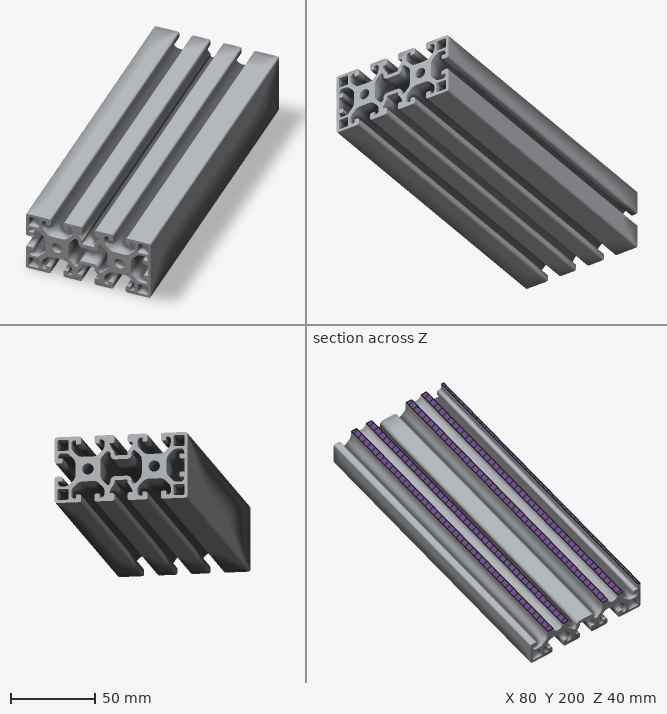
import cadquery as cq
import math

length = 200.0
cell = 40.0
half_cell = cell / 2
width = 2 * cell
cell_centres = (-half_cell, half_cell)
edge_radius = 1.2
bore_diameter = 6.8

mouth_half = 4.0
lip_half = 7.0
slot_half = 10.0
lip_level = half_cell - 4.8
pocket_level = half_cell - 2.5
side_pocket_level = half_cell - 1.8
core_size = 15.0
core_half = core_size / 2
arm_offset = 2.2
floor_radius = 4.8
flank_radius = 4.0
pocket_radius = 1.8

wall = 1.8
tube_size = 6.5
tube_radius = 0.5
tube_lip_radius = 1.0

groove_half = 6.8
groove_flank_top = 14.2
groove_flank_bottom = 9.5
groove_bend_half = 6.0
groove_bend_level = 12.2
groove_bend_radius = 14.0
groove_floor_radius = 0.5

bridge_gap = 10.2
bridge_level = bridge_gap / 2
bridge_shoulder_half = 6.5
lobe_bend_level = 8.8
lobe_top_half = 7.2
cavity_top = 10.2
cavity_flank_offset = 1.5
cavity_core_half = half_cell - core_half
cavity_top_radius = 0.5
shoulder_radius = 2.8

overshoot = 2.0


def mirrored(half_outline):
    """Close a half outline of (x, z, radius) corners with its reflection in the Z axis."""
    return half_outline + [(-x, z, radius) for x, z, radius in reversed(half_outline)]


def turned(outline, angle):
    """Rotate an outline about the origin by an angle in degrees."""
    c = math.cos(math.radians(angle))
    s = math.sin(math.radians(angle))
    return [(c * x - s * z, s * x + c * z, radius) for x, z, radius in outline]


def shifted(outline, dx):
    """Move an outline along X."""
    return [(x + dx, z, radius) for x, z, radius in outline]


def bar(outline):
    """Extrude a polygon of (x, z, radius) corners along Y, rounding each corner by its radius."""
    path = []
    following = outline[1:] + outline[:1]
    for i, (x, z, radius) in enumerate(outline):
        corner = cq.Vector(x, z)
        before_x, before_z, _ = outline[i - 1]
        after_x, after_z, _ = following[i]
        before = cq.Vector(before_x, before_z) - corner
        after = cq.Vector(after_x, after_z) - corner
        to_before = before.normalized()
        to_after = after.normalized()
        half_angle = before.getAngle(after) / 2
        setback = radius / math.tan(half_angle)
        bisector = (to_before + to_after).normalized()
        middle = corner + bisector * (radius / math.sin(half_angle) - radius)
        start = corner + to_before * setback
        end = corner + to_after * setback
        path.append((start, middle, end, radius))

    _, _, first_end, _ = path[0]
    sketch = cq.Workplane("XZ").moveTo(first_end.x, first_end.y)
    for start, middle, end, radius in path[1:] + path[:1]:
        sketch = sketch.lineTo(start.x, start.y)
        if radius > 0:
            sketch = sketch.threePointArc((middle.x, middle.y), (end.x, end.y))
    return sketch.close().extrude(length / 2, both=True)


def slot_interior(pocket_end_level):
    """Half outline of a slot from the inner end of the lip down to the slot floor."""
    return [
        (lip_half, lip_level, 0),
        (lip_half, pocket_end_level, 0),
        (slot_half, pocket_level, pocket_radius),
        (slot_half, slot_half + arm_offset, flank_radius),
        (core_half - arm_offset, core_half, floor_radius),
    ]


def open_mouth():
    """Half outline of a mouth whose edges are rounded into the face and on the inside of the lip."""
    flare_half = mouth_half + overshoot
    return [
        (flare_half, half_cell + overshoot, 0),
        (flare_half, half_cell, 0),
        (mouth_half, half_cell, edge_radius),
        (mouth_half, lip_level, edge_radius),
    ]


def end_slots():
    """Open slot on -X, and the same slot closed by the outer wall on +X."""
    interior = slot_interior(side_pocket_level)
    open_slot = mirrored(open_mouth() + interior)
    closed_mouth = [
        (mouth_half, half_cell - wall, 0),
        (mouth_half, lip_level, edge_radius),
    ]
    closed_slot = mirrored(closed_mouth + interior)
    yield shifted(turned(open_slot, 90), cell_centres[0])
    yield shifted(turned(closed_slot, -90), cell_centres[1])


def face_slots():
    """Open slots on the top and bottom faces of both cells."""
    slot = mirrored(open_mouth() + slot_interior(pocket_level))
    for centre in cell_centres:
        yield shifted(slot, centre)
        yield shifted(turned(slot, 180), centre)


def grooves():
    """Dovetail grooves in the top and bottom faces between the cells."""
    groove = mirrored(open_mouth() + [
        (groove_half, lip_level, 0),
        (groove_half, groove_flank_top, 0),
        (groove_bend_half, groove_bend_level, groove_bend_radius),
        (mouth_half, groove_flank_bottom, 0),
        (mouth_half, core_half, groove_floor_radius),
    ])
    yield groove
    yield turned(groove, 180)


def middle_cavity():
    """Hollow between the cores, with lobes reaching up and down beside each bridge."""
    upper_right = [
        (bridge_shoulder_half, bridge_level, shoulder_radius),
        (bridge_shoulder_half, lobe_bend_level, 0),
        (lobe_top_half, cavity_top, cavity_top_radius),
        (half_cell - cavity_flank_offset - cavity_top, cavity_top, cavity_top_radius),
        (cavity_core_half, core_half - cavity_flank_offset, floor_radius),
    ]
    right = upper_right + [(x, -z, radius) for x, z, radius in reversed(upper_right)]
    return mirrored(right)


def corner_tubes():
    """Square tubes in the four outer corners."""
    outer_x = width / 2 - wall
    outer_z = half_cell - wall
    inner_x = outer_x - tube_size
    inner_z = outer_z - tube_size
    for side_x in (-1, 1):
        for side_z in (-1, 1):
            yield [
                (side_x * outer_x, side_z * outer_z, tube_radius),
                (side_x * inner_x, side_z * outer_z, tube_lip_radius),
                (side_x * inner_x, side_z * inner_z, tube_radius),
                (side_x * outer_x, side_z * inner_z, tube_radius),
            ]


result = cq.Workplane("XY").box(width, length, cell).edges("|Y").fillet(edge_radius)

for hollow in (*end_slots(), *face_slots(), *grooves(), middle_cavity(), *corner_tubes()):
    result = result.cut(bar(hollow))

bores = (
    cq.Workplane("XZ")
    .pushPoints([(x, 0) for x in cell_centres])
    .circle(bore_diameter / 2)
    .extrude(length / 2, both=True)
)
result = result.cut(bores)